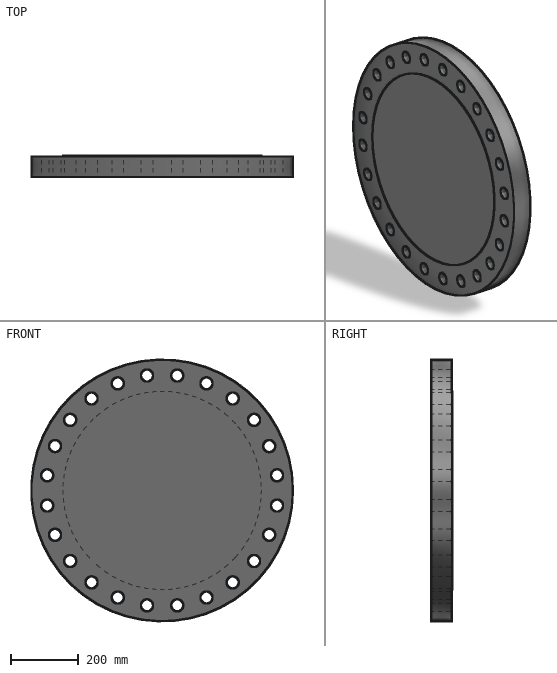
import cadquery as cq

flange_diameter = 774.7
overall_thickness = 63.56
raised_face_diameter = 587.25
raised_face_height = 1.59
plate_thickness = overall_thickness - raised_face_height

bolt_hole_diameter = 35.05
bolt_hole_count = 24
bolt_circle_diameter = 685.8
bolt_pitch_angle = 360 / bolt_hole_count
first_bolt_angle = bolt_pitch_angle / 2


def disc(diameter, start_y, thickness):
    """Solid disc on the Y axis, extending from start_y towards +Y."""
    return (
        cq.Workplane("XZ", origin=(0, start_y, 0))
        .circle(diameter / 2)
        .extrude(-thickness)
    )


def bolt_holes():
    """Cutters for the ring of bolt holes, running through the plate."""
    return (
        cq.Workplane("XZ")
        .polarArray(bolt_circle_diameter / 2, first_bolt_angle, 360, bolt_hole_count)
        .circle(bolt_hole_diameter / 2)
        .extrude(-plate_thickness)
    )


plate = disc(flange_diameter, 0, plate_thickness)
raised_face = disc(raised_face_diameter, plate_thickness, raised_face_height)

result = plate.union(raised_face).cut(bolt_holes())